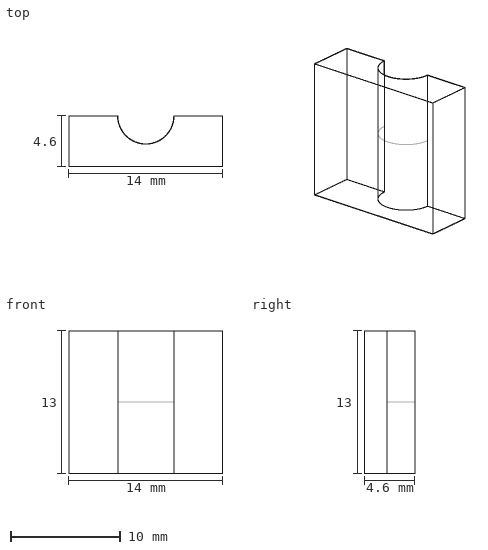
import cadquery as cq

length = 14.0
thickness = 4.6
height = 13.0

groove_radius = 2.55

block = cq.Workplane("XY").box(length, thickness, height)

groove = (
    cq.Workplane("XY")
    .center(0, thickness / 2)
    .circle(groove_radius)
    .extrude(height, both=True)
)

result = block.cut(groove)